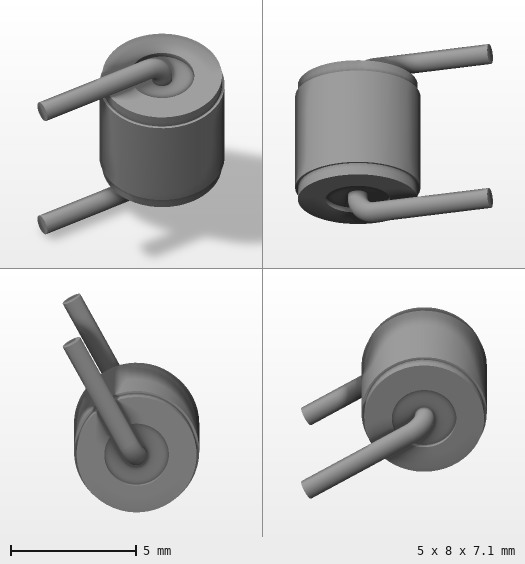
import cadquery as cq

body_diameter = 5.0
body_height = 4
cap_diameter = 4.78
overall_height = 5.0

recess_diameter = 2.58
recess_depth = 0.2

lead_diameter = 0.8
lead_bend_radius = 0.69
lead_bend_angle = 90
lead_span = 7.1
overall_depth = 8

cap_face_z = overall_height / 2
recess_floor_z = cap_face_z - recess_depth
lead_axis_z = (lead_span - lead_diameter) / 2
lead_tip_y = body_diameter / 2 - overall_depth


def centred_cylinder(diameter, height):
    return cq.Workplane("XY").workplane(offset=-height / 2).circle(diameter / 2).extrude(height)


def end_recess():
    return (
        cq.Workplane("XY")
        .workplane(offset=recess_floor_z)
        .circle(recess_diameter / 2)
        .extrude(recess_depth)
    )


def upper_lead():
    root_z = body_height / 4
    bend_start_z = lead_axis_z - lead_bend_radius
    root = (
        cq.Workplane("XY")
        .workplane(offset=root_z)
        .circle(lead_diameter / 2)
        .extrude(bend_start_z - root_z)
    )
    bend = (
        cq.Workplane("XY")
        .workplane(offset=bend_start_z)
        .circle(lead_diameter / 2)
        .revolve(lead_bend_angle, (0, -lead_bend_radius, 0), (1, -lead_bend_radius, 0))
    )
    straight = (
        cq.Workplane("XZ", origin=(0, -lead_bend_radius, lead_axis_z))
        .circle(lead_diameter / 2)
        .extrude(-lead_bend_radius - lead_tip_y)
    )
    return root.union(bend).union(straight)


recess = end_recess()
lead = upper_lead()

result = centred_cylinder(body_diameter, body_height)
result = result.union(centred_cylinder(cap_diameter, overall_height))
result = result.cut(recess).cut(recess.mirror("XY"))
result = result.union(lead).union(lead.mirror("XY"))